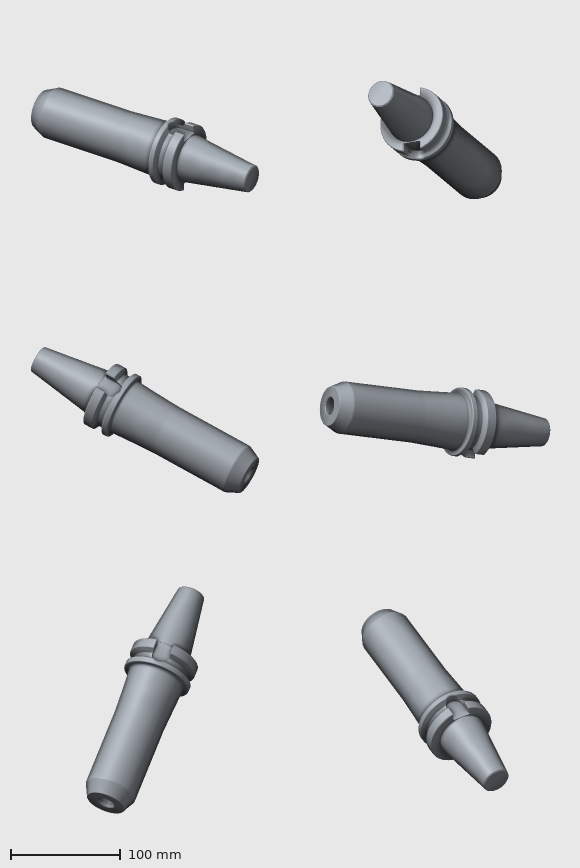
import cadquery as cq
import math

nose_x = -160.0
gauge_x = 0.0
taper_length = 65.4
flange_front_x = -27.0
flange_rear_x = -2.0

nose_face_radius = 18.1
nose_face_fillet = 0.6
nose_length = 12.5
nose_blend_radius = 2.5
body_radius = 24.0
flare_start_x = -72.0
flare_angle = 3.0
flare_end_x = -30.1
flare_end_radius = body_radius + (flare_end_x - flare_start_x) * math.tan(math.radians(flare_angle))
flare_blend_radius = 25.0
flange_root_fillet = 1.9

flange_radius = 63.0 / 2
rim_fillet = 1.0
groove_edge_fillet = 0.8
groove_floor_radius = 53.0 / 2
groove_centre_x = -16.6
groove_floor_width = 4.8
groove_flank_angle = 30.0
groove_depth = flange_radius - groove_floor_radius
groove_flank_length = groove_depth * math.tan(math.radians(groove_flank_angle))
groove_front_x = groove_centre_x - groove_floor_width / 2 - groove_flank_length
groove_rear_x = groove_centre_x + groove_floor_width / 2 + groove_flank_length

neck_radius = 43.79 / 2
neck_root_fillet = 0.5
gauge_radius = 44.45 / 2
taper_ratio = 7 / 24
taper_end_x = gauge_x + taper_length
taper_end_radius = gauge_radius - taper_length * taper_ratio / 2
taper_end_chamfer = 1.0

bore_radius = 16.0 / 2
bore_depth = 50.0
bore_chamfer = 0.75

slot_width = 16.0
slot_floor_height = 22.5
slot_end_x = -23.1
slot_floor_fillet = 1.0
slot_mouth_chamfer = 0.8
slot_rear_bevel = 1.0

pick_tolerance = 0.01


def make_blank():
    """Revolve the sharp-cornered outer profile about the X axis."""
    flare_tangent = flare_blend_radius * math.tan(math.radians(flare_angle) / 2)
    blend_run = flare_tangent * math.cos(math.radians(flare_angle))
    blend_rise = flare_tangent * math.sin(math.radians(flare_angle))

    profile = (
        cq.Workplane("XY")
        .moveTo(nose_x, 0)
        .lineTo(nose_x, nose_face_radius)
        .lineTo(nose_x + nose_length, body_radius)
        .lineTo(flare_start_x - flare_tangent, body_radius)
        .tangentArcPoint((flare_start_x + blend_run, body_radius + blend_rise), relative=False)
        .lineTo(flare_end_x, flare_end_radius)
        .lineTo(flange_front_x, flare_end_radius)
        .lineTo(flange_front_x, flange_radius)
        .lineTo(groove_front_x, flange_radius)
        .lineTo(groove_front_x + groove_flank_length, groove_floor_radius)
        .lineTo(groove_rear_x - groove_flank_length, groove_floor_radius)
        .lineTo(groove_rear_x, flange_radius)
        .lineTo(flange_rear_x, flange_radius)
        .lineTo(flange_rear_x, neck_radius)
        .lineTo(gauge_x, neck_radius)
        .lineTo(gauge_x, gauge_radius)
        .lineTo(taper_end_x, taper_end_radius)
        .lineTo(taper_end_x, 0)
        .close()
    )
    return profile.revolve(360, (0, 0, 0), (1, 0, 0))


def circle_edges(body, radius, x_min, x_max):
    """Circles and arcs about the X axis with the given radius, between two stations."""

    def matches(edge):
        centre = edge.arcCenter()
        on_axis = math.hypot(centre.y, centre.z) < pick_tolerance
        in_range = x_min - pick_tolerance < centre.x < x_max + pick_tolerance
        return on_axis and in_range and abs(edge.radius() - radius) < pick_tolerance

    picked = [edge for edge in body.edges("%CIRCLE").vals() if matches(edge)]
    return body.newObject(picked)


def blend_circles(body):
    """Round the corners of the turned profile and break the small end of the taper."""
    nose_edge_x = nose_x + nose_length
    body = circle_edges(body, nose_face_radius, nose_x, nose_x).fillet(nose_face_fillet)
    body = circle_edges(body, body_radius, nose_edge_x, nose_edge_x).fillet(nose_blend_radius)
    body = circle_edges(body, flare_end_radius, flange_front_x, flange_front_x).fillet(flange_root_fillet)
    body = circle_edges(body, flange_radius, flange_front_x, flange_front_x).fillet(rim_fillet)
    body = circle_edges(body, flange_radius, flange_rear_x, flange_rear_x).fillet(rim_fillet)
    body = circle_edges(body, flange_radius, groove_front_x, groove_rear_x).fillet(groove_edge_fillet)
    body = circle_edges(body, neck_radius, flange_rear_x, flange_rear_x).fillet(neck_root_fillet)
    return circle_edges(body, taper_end_radius, taper_end_x, taper_end_x).chamfer(taper_end_chamfer)


def cut_bore(body):
    """Blind bore with a chamfered mouth in the nose face."""
    bore = cq.Workplane("YZ", origin=(nose_x, 0, 0)).circle(bore_radius).extrude(bore_depth)
    body = body.cut(bore)
    return circle_edges(body, bore_radius, nose_x, nose_x).chamfer(bore_chamfer)


def slot_tool():
    """Cutter for the +Z slot: round front end, open bevelled rear end, rounded floor corners."""
    half = slot_width / 2
    bevel_start_x = flange_rear_x - slot_rear_bevel
    rear_half = half + gauge_x - bevel_start_x
    return (
        cq.Workplane("XY", origin=(0, 0, slot_floor_height))
        .moveTo(gauge_x, -rear_half)
        .lineTo(bevel_start_x, -half)
        .lineTo(slot_end_x + half, -half)
        .threePointArc((slot_end_x, 0), (slot_end_x + half, half))
        .lineTo(bevel_start_x, half)
        .lineTo(gauge_x, rear_half)
        .close()
        .extrude(flange_radius)
        .faces("<Z")
        .edges("not >X")
        .fillet(slot_floor_fillet)
    )


def mouth_edges(body):
    """Edges where the slot walls break through the flange rim."""
    half = slot_width / 2
    rim_height = math.sqrt(flange_radius**2 - half**2)

    def matches(edge):
        middle = edge.positionAt(0.5)
        on_rim = all(
            abs(math.hypot(p.y, p.z) - flange_radius) < pick_tolerance
            for p in (edge.startPoint(), middle, edge.endPoint())
        )
        return on_rim and abs(middle.z) > rim_height - pick_tolerance and abs(middle.y) < half + pick_tolerance

    return body.newObject([edge for edge in body.edges("not %CIRCLE").vals() if matches(edge)])


def cut_slots(body):
    """Two opposite drive slots, on the +Z and -Z sides of the flange."""
    tool = slot_tool()
    for angle in (0, 180):
        body = body.cut(tool.rotate((0, 0, 0), (1, 0, 0), angle))
    return mouth_edges(body).chamfer(slot_mouth_chamfer)


slotted_blank = cut_slots(make_blank())
result = cut_bore(blend_circles(slotted_blank))